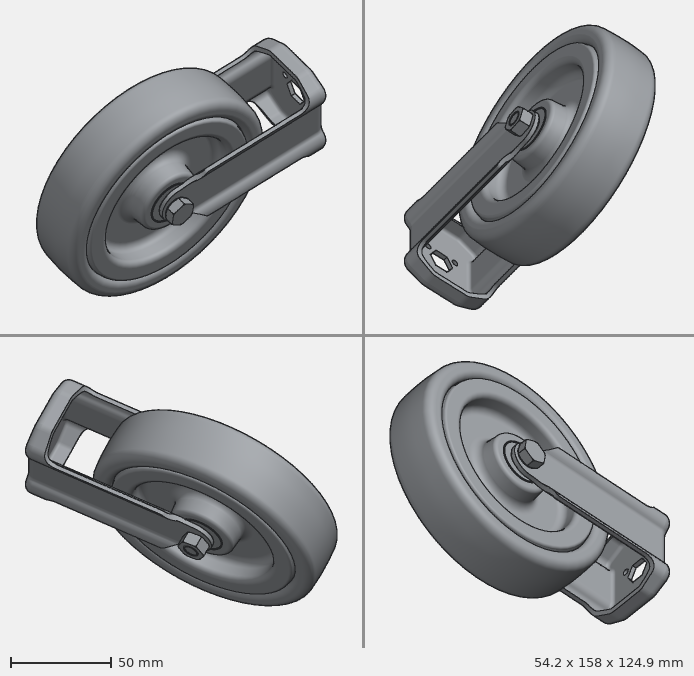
import cadquery as cq
import math


overall_length = 158

tyre_radius = 62.47
tread_edge_radius = 61.9
tread_half_width = 11.4
tyre_half_width = 16.0
sidewall_outer_radius = 57.2
sidewall_inner_radius = 54.8
shoulder_fillet = 4.7
rim_radius = 51.2
lip_fillet = sidewall_inner_radius - rim_radius
lip_end_x = tyre_half_width - lip_fillet

core_half_width = 15.8
rim_face_outer_radius = 49.1
rim_edge_fillet = 1.5
dish_radius = 39.3
dish_lip_fillet = 3.0
dish_floor_fillet = 4.0
web_half_thickness = 3.8
hub_half_length = 16.98
hub_root_radius = 18.5
hub_end_radius = 17.8
hub_root_fillet = 4.9
hub_edge_fillet = 2.2
seal_ring_outer_radius = 12.3
seal_ring_width = 0.6
seal_ring_depth = 0.3
collar_radius = 7.5

sheet = 2.5
fork_end = overall_length - tyre_radius
leg_outer_x = 20.3
leg_flat_half_height = 10.1
lobe_outer_x = 24.0
lobe_radius = 6.5
lobe_center_z = 17.5
flank_angle = 26.5
base_half_height = 28.0
base_corner_radius = 6.6
base_edge_fillet = 4.5
rim_depth = 10.1
leg_half_height = 17.4
scoop_radius = 7.7
scoop_slant = 12
taper_radius = 20.5
leg_shoulder_radius = 2.8
tip_radius = 10.5
tip_center_y = 2.4
base_hole_corners = 14.0
small_hole_radius = 1.7
small_hole_x = 8.5
small_hole_z = 5.4

bolt_radius = 4.1
bolt_tip_chamfer = 0.71
hex_flats = 13.0
nut_inner_x = 21.0
nut_height = 6.5
nut_turn = 7
washer_face_x = 20.8
washer_face_thickness = 0.5
head_outer_x = 26.7
head_turn = 38
hex_bevel = 0.5


def axle_cylinder(radius, x_start, x_end):
    return cq.Workplane("YZ", origin=(x_start, 0, 0)).circle(radius).extrude(x_end - x_start)


def make_tyre():
    profile = (
        cq.Workplane("XY")
        .moveTo(-tread_half_width, tread_edge_radius)
        .threePointArc((0, tyre_radius), (tread_half_width, tread_edge_radius))
        .radiusArc((tyre_half_width, sidewall_outer_radius), shoulder_fillet)
        .lineTo(tyre_half_width, sidewall_inner_radius)
        .radiusArc((lip_end_x, rim_radius), lip_fillet)
        .lineTo(-lip_end_x, rim_radius)
        .radiusArc((-tyre_half_width, sidewall_inner_radius), lip_fillet)
        .lineTo(-tyre_half_width, sidewall_outer_radius)
        .radiusArc((-tread_half_width, tread_edge_radius), shoulder_fillet)
        .close()
    )
    return profile.revolve(360, (0, 0, 0), (1, 0, 0))


def make_core():
    rim_edge_radius = rim_face_outer_radius + rim_edge_fillet
    seal_ring_floor_x = hub_half_length - seal_ring_depth
    seal_ring_inner_radius = seal_ring_outer_radius - seal_ring_width
    half_profile = (
        cq.Workplane("XY")
        .moveTo(0, bolt_radius)
        .lineTo(0, rim_radius)
        .lineTo(lip_end_x, rim_radius)
        .lineTo(core_half_width - rim_edge_fillet, rim_edge_radius)
        .radiusArc((core_half_width, rim_face_outer_radius), rim_edge_fillet)
        .lineTo(core_half_width, dish_radius + dish_lip_fillet)
        .radiusArc((core_half_width - dish_lip_fillet, dish_radius), dish_lip_fillet)
        .lineTo(web_half_thickness + dish_floor_fillet, dish_radius)
        .radiusArc((web_half_thickness, dish_radius - dish_floor_fillet), -dish_floor_fillet)
        .lineTo(web_half_thickness, hub_root_radius + hub_root_fillet)
        .radiusArc((web_half_thickness + hub_root_fillet, hub_root_radius), -hub_root_fillet)
        .lineTo(hub_half_length - hub_edge_fillet, hub_end_radius)
        .radiusArc((hub_half_length, hub_end_radius - hub_edge_fillet), hub_edge_fillet)
        .lineTo(hub_half_length, seal_ring_outer_radius)
        .lineTo(seal_ring_floor_x, seal_ring_outer_radius)
        .lineTo(seal_ring_floor_x, seal_ring_inner_radius)
        .lineTo(hub_half_length, seal_ring_inner_radius)
        .lineTo(hub_half_length, collar_radius)
        .lineTo(leg_outer_x - sheet, collar_radius)
        .lineTo(leg_outer_x - sheet, bolt_radius)
        .close()
    )
    half = half_profile.revolve(360, (0, 0, 0), (1, 0, 0))
    return half.union(half.mirror("YZ"))


def pan_quarter_points():
    """Key points of the pan outline in the quarter x > 0, z > 0, as (x, z)."""
    lobe_center_x = lobe_outer_x - lobe_radius
    across = leg_outer_x - lobe_center_x
    rise = lobe_center_z - leg_flat_half_height
    bend_radius = (across**2 + rise**2 - lobe_radius**2) / (2 * (lobe_radius - across))
    share = lobe_radius / (lobe_radius + bend_radius)
    bend_end = (
        lobe_center_x + share * (across + bend_radius),
        lobe_center_z - share * rise,
    )
    slope = math.radians(flank_angle)
    lobe_end = (
        lobe_center_x + lobe_radius * math.sin(slope),
        lobe_center_z + lobe_radius * math.cos(slope),
    )
    corner_x = lobe_end[0] - (base_half_height - lobe_end[1]) / math.tan(slope)
    tangent_length = base_corner_radius * math.tan(slope / 2)
    flank_end = (
        corner_x + tangent_length * math.cos(slope),
        base_half_height - tangent_length * math.sin(slope),
    )
    top_end = (corner_x - tangent_length, base_half_height)
    return bend_end, bend_radius, lobe_end, flank_end, top_end


def pan_outline(plane):
    bend_end, bend_radius, lobe_end, flank_end, top_end = pan_quarter_points()
    flat_end = (leg_outer_x, leg_flat_half_height)
    lobe_tip = (lobe_outer_x, lobe_center_z)
    key_points = (flat_end, bend_end, lobe_tip, lobe_end, flank_end, top_end)

    def quarter(x_sign, z_sign):
        return [(x_sign * x, z_sign * z) for x, z in key_points]

    outline = plane.moveTo(leg_outer_x, -leg_flat_half_height)
    for side in (1, -1):
        flat, bend, tip, lobe, flank, top = quarter(side, side)
        outline = (
            outline.lineTo(*flat)
            .radiusArc(bend, bend_radius)
            .threePointArc(tip, lobe)
            .lineTo(*flank)
            .radiusArc(top, -base_corner_radius)
        )
        flat, bend, tip, lobe, flank, top = quarter(-side, side)
        outline = (
            outline.lineTo(*top)
            .radiusArc(flank, -base_corner_radius)
            .lineTo(*lobe)
            .threePointArc(tip, bend)
            .radiusArc(flat, bend_radius)
        )
    return outline.close()


def leg_silhouette():
    """Side shape of the fork, extruded through its full width."""
    rim_y = fork_end - rim_depth
    taper_center_z = tip_radius + taper_radius
    shoulder_center_z = leg_half_height - leg_shoulder_radius
    reach = taper_radius + leg_shoulder_radius
    drop = taper_center_z - shoulder_center_z
    shoulder_run = math.sqrt(reach**2 - drop**2)
    taper_end_y = tip_center_y + shoulder_run * taper_radius / reach
    taper_end_z = taper_center_z - drop * taper_radius / reach
    shoulder_y = tip_center_y + shoulder_run
    slant = math.radians(scoop_slant)
    scoop_z = leg_half_height + scoop_radius * (1 - math.sin(slant))
    scoop_y = rim_y - (base_half_height - scoop_z) * math.tan(slant)
    leg_start_y = scoop_y - scoop_radius * math.cos(slant)
    tip = (tip_center_y - tip_radius, 0)
    return (
        cq.Workplane("YZ", origin=(-lobe_outer_x, 0, 0))
        .moveTo(fork_end, base_half_height)
        .lineTo(rim_y, base_half_height)
        .lineTo(scoop_y, scoop_z)
        .radiusArc((leg_start_y, leg_half_height), scoop_radius)
        .lineTo(shoulder_y, leg_half_height)
        .radiusArc((taper_end_y, taper_end_z), -leg_shoulder_radius)
        .radiusArc((tip_center_y, tip_radius), taper_radius)
        .threePointArc(tip, (tip_center_y, -tip_radius))
        .radiusArc((taper_end_y, -taper_end_z), taper_radius)
        .radiusArc((shoulder_y, -leg_half_height), -leg_shoulder_radius)
        .lineTo(leg_start_y, -leg_half_height)
        .radiusArc((scoop_y, -scoop_z), scoop_radius)
        .lineTo(rim_y, -base_half_height)
        .lineTo(fork_end, -base_half_height)
        .close()
        .extrude(2 * lobe_outer_x)
    )


def make_fork():
    length = fork_end - tip_center_y + tip_radius
    outer_plane = cq.Workplane("XZ", origin=(0, fork_end, 0))
    inner_plane = cq.Workplane("XZ", origin=(0, fork_end - sheet, 0))
    block = pan_outline(outer_plane).extrude(length)
    block = block.faces(">Y").edges().fillet(base_edge_fillet)
    cavity = pan_outline(inner_plane).offset2D(-sheet).extrude(length)
    cavity = cavity.faces(">Y").edges().fillet(base_edge_fillet - sheet)
    fork = block.cut(cavity).intersect(leg_silhouette())

    axle_hole = axle_cylinder(bolt_radius, -lobe_outer_x, lobe_outer_x)
    base_hole = outer_plane.polygon(6, base_hole_corners).extrude(sheet)
    small_holes = (
        outer_plane.pushPoints([(-small_hole_x, small_hole_z), (small_hole_x, small_hole_z)])
        .circle(small_hole_radius)
        .extrude(sheet)
    )
    return fork.cut(axle_hole).cut(base_hole).cut(small_holes)


def make_hexagon(x_start, x_end, turn):
    hex_corners = hex_flats / math.cos(math.pi / 6)
    prism = cq.Workplane("YZ", origin=(x_start, 0, 0)).polygon(6, hex_corners).extrude(x_end - x_start)
    bevel = axle_cylinder(hex_corners / 2, x_start, x_end).edges().chamfer(hex_bevel)
    return prism.intersect(bevel).rotate((0, 0, 0), (1, 0, 0), turn)


def make_nut():
    nut_outer_x = nut_inner_x + nut_height
    nut = make_hexagon(-nut_outer_x, -nut_inner_x, -nut_turn)
    return nut.cut(axle_cylinder(bolt_radius, -nut_outer_x, -nut_inner_x))


def make_bolt():
    head_inner_x = washer_face_x + washer_face_thickness
    shank = axle_cylinder(bolt_radius, -nut_inner_x - nut_height, washer_face_x)
    shank = shank.faces("<X").edges().chamfer(bolt_tip_chamfer)
    washer_face = axle_cylinder(hex_flats / 2, washer_face_x, head_inner_x)
    head = make_hexagon(head_inner_x, head_outer_x, -head_turn)
    return shank.union(washer_face).union(head)


tyre = make_tyre()
core = make_core()
fork = make_fork()
nut = make_nut()
bolt = make_bolt()

result = cq.Compound.makeCompound([tyre.val(), core.val(), fork.val(), nut.val(), bolt.val()])